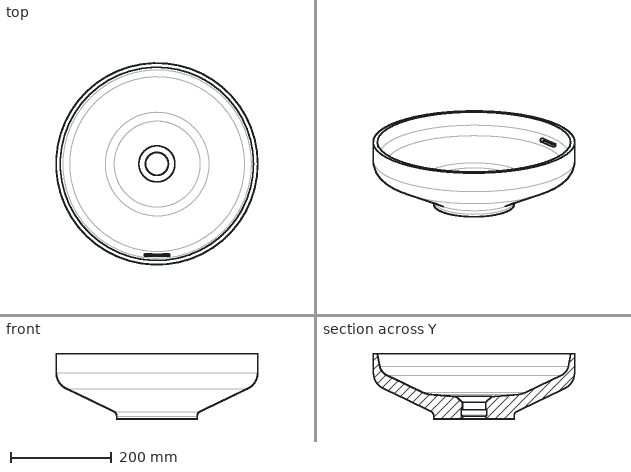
import cadquery as cq
import math

outer_radius = 200.0
height = 130.0

foot_radius = 80.0
foot_corner_height = 12.3
belly_corner_height = 70.0
foot_blend_radius = 10.0
belly_blend_radius = 35.0

rim_width = 8.5
bowl_corner_radius = 184.5
bowl_corner_height = 92.8
bowl_blend_radius = 24.5
floor_corner_radius = 94.5
floor_corner_height = 49.7
floor_blend_radius = 50.0

drain_radius = 22.5
drain_seat_radius = 35.8
drain_seat_top = 45.0
drain_seat_bottom = 33.5
recess_top = 19.0
recess_bottom = 6.2
recess_floor_radius = 2.2
recess_radius = drain_radius + recess_floor_radius

slot_length = 50.0
slot_width = 7.0
slot_depth = 5.5
slot_center_radius = 181.2
slot_center_height = 93.7
slot_tilt = 35.0
slot_clearance = 10.0


def unit_vector(start, end):
    length = math.dist(start, end)
    return ((end[0] - start[0]) / length, (end[1] - start[1]) / length)


def blend_arc(before, corner, after, radius):
    """Start, middle and end of the arc that rounds a corner between two lines."""
    ux, uz = unit_vector(corner, before)
    vx, vz = unit_vector(corner, after)
    half_angle = math.acos(ux * vx + uz * vz) / 2
    setback = radius / math.tan(half_angle)
    to_middle = radius / math.sin(half_angle) - radius
    bx, bz = unit_vector((0, 0), (ux + vx, uz + vz))
    start = (corner[0] + setback * ux, corner[1] + setback * uz)
    middle = (corner[0] + to_middle * bx, corner[1] + to_middle * bz)
    end = (corner[0] + setback * vx, corner[1] + setback * vz)
    return start, middle, end


def make_bowl():
    """Revolve the radius-height section of the basin, drain included."""
    corners = [
        ((drain_radius, 0), 0),
        ((foot_radius, 0), 0),
        ((foot_radius, foot_corner_height), foot_blend_radius),
        ((outer_radius, belly_corner_height), belly_blend_radius),
        ((outer_radius, height), 0),
        ((outer_radius - rim_width, height), 0),
        ((bowl_corner_radius, bowl_corner_height), bowl_blend_radius),
        ((floor_corner_radius, floor_corner_height), floor_blend_radius),
        ((drain_seat_radius, drain_seat_top), 0),
        ((drain_radius, drain_seat_bottom), 0),
        ((drain_radius, recess_top), 0),
        ((recess_radius, recess_top), 0),
    ]
    section = cq.Workplane("XZ").moveTo(*corners[0][0])
    for i in range(1, len(corners)):
        corner, radius = corners[i]
        if radius == 0:
            section = section.lineTo(*corner)
            continue
        before = corners[i - 1][0]
        after = corners[i + 1][0]
        start, middle, end = blend_arc(before, corner, after, radius)
        section = section.lineTo(*start).threePointArc(middle, end)

    section = section.lineTo(recess_radius, recess_bottom + recess_floor_radius)
    section = section.radiusArc((drain_radius, recess_bottom), recess_floor_radius)
    return section.close().revolve(360, (0, 0), (0, 1))


def make_overflow_slot():
    """Round-ended cutter leaning toward the bowl axis as it rises."""
    tilt = math.radians(slot_tilt)
    mouth_plane = cq.Plane(
        origin=(0, -slot_center_radius, slot_center_height),
        xDir=(1, 0, 0),
        normal=(0, math.sin(tilt), math.cos(tilt)),
    )
    return (
        cq.Workplane(mouth_plane)
        .workplane(offset=-slot_depth)
        .slot2D(slot_length, slot_width)
        .extrude(slot_depth + slot_clearance)
    )


result = make_bowl().cut(make_overflow_slot())